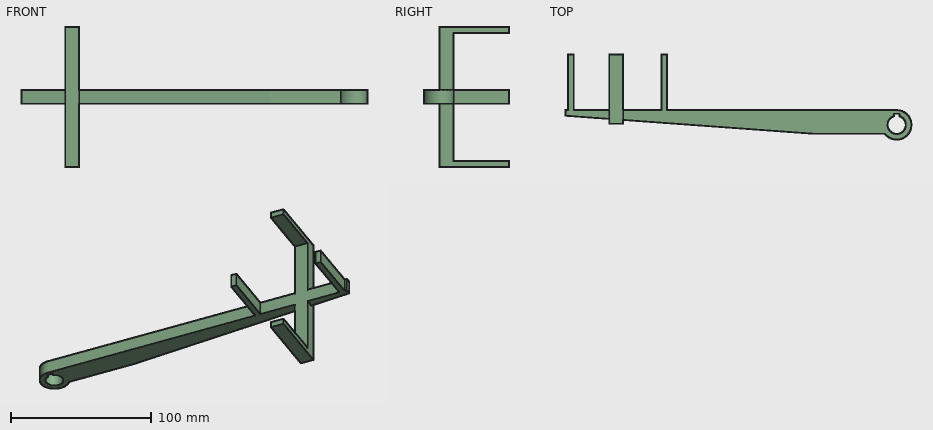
import cadquery as cq

length = 247.0
thickness = 10.0

hub_radius = 10.5
bore_radius = 6.5
key_width = 3.7
key_reach = 8.0
hub_x = length - hub_radius
hub_y = -hub_radius

tip_width = 4.2
handle_width = 17.0
taper_end_x = 176.9

prong_length = 39.8
prong_width = 4.2
prong_starts = (1.7, 68.5)

frame_height = 100.0
frame_x = 31.0
frame_width = thickness
frame_back = thickness
frame_arm = 4.5


def make_handle():
    """Bar that widens from its tip and then runs parallel to the hub."""
    outline = [
        (0, 0),
        (hub_x, 0),
        (hub_x, -handle_width),
        (taper_end_x, -handle_width),
        (0, -tip_width),
    ]
    return cq.Workplane("XY").polyline(outline).close().extrude(thickness / 2, both=True)


def make_hub():
    return cq.Workplane("XY").center(hub_x, hub_y).circle(hub_radius).extrude(thickness / 2, both=True)


def make_bore():
    """Round bore with a keyway on its +Y side."""
    plane = cq.Workplane("XY").center(hub_x, hub_y)
    bore = plane.circle(bore_radius).extrude(thickness / 2, both=True)
    keyway = (
        plane.center(0, key_reach / 2)
        .rect(key_width, key_reach)
        .extrude(thickness / 2, both=True)
    )
    return bore.union(keyway)


def make_prong(start_x):
    """Flat prong rooted in the handle and pointing along +Y."""
    root = tip_width / 2
    return cq.Workplane("XY").box(
        prong_width, prong_length + root, thickness, centered=(False, False, True)
    ).translate((start_x, -root, 0))


def make_frame():
    """U shape with its back across the handle and its arms along +Y."""
    depth = prong_length + frame_back
    outer = cq.Workplane("XY").box(frame_width, depth, frame_height, centered=(False, False, True))
    opening = (
        cq.Workplane("XY")
        .box(frame_width, prong_length, frame_height - 2 * frame_arm, centered=(False, False, True))
        .translate((0, frame_back, 0))
    )
    return outer.cut(opening).translate((frame_x, -frame_back, 0))


result = make_handle().union(make_hub()).cut(make_bore())
for prong_start in prong_starts:
    result = result.union(make_prong(prong_start))
result = result.union(make_frame())